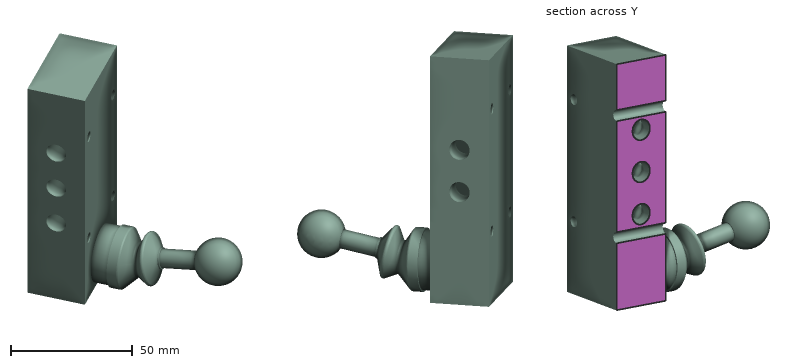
import cadquery as cq
import math

block_depth = 25.0
block_width = 40.0
block_height = 105.0
port_row_z = 57.0

mount_hole_dia = 4.5
mount_pitch_y = 30.0
mount_pitch_z = 52.0

port_dia = 8.6
port_pitch = 18.0
port_depth = 10.6

neck_dia = 25.0
neck_length = 7.1
cap_dia = 26.5
cap_length = 4.5
cap_overhang = 0.7
actuator_z = cap_dia / 2 - cap_overhang
cap_start = block_depth + neck_length
cap_end = cap_start + cap_length

lever_tilt = 10.0
pivot_x = 30.1
rod_dia = 8.0
ball_dia = 20.0
overall_length = 86.0
ball_x = overall_length - ball_dia / 2
ball_distance = (ball_x - pivot_x) / math.cos(math.radians(lever_tilt))

valley_x = 42.1
valley_radius = 6.6
valley_tilt = 8.0
rim_x = 47.1
rim_rise = 2.6
rim_radius = 12.1
rim_tilt = 13.0
collar_dia = 9.0
collar_x = 51.2
collar_length = 0.7
cap_round = 0.8
valley_round = 0.8
rim_round = 1.1

ball_flat_dia = 9.0
ball_flat_offset = math.sqrt((ball_dia / 2) ** 2 - (ball_flat_dia / 2) ** 2)


def tilted_plane(x, rise, tilt):
    """Plane facing along +X, raised above the actuator axis and tilted upward in XZ."""
    angle = math.radians(tilt)
    normal = (math.cos(angle), 0, math.sin(angle))
    return cq.Plane(origin=(x, 0, actuator_z + rise), xDir=(0, 1, 0), normal=normal)


def lever_rise(x):
    """Height of the lever axis above the actuator axis at a given X."""
    return (x - pivot_x) * math.tan(math.radians(lever_tilt))


def skin(start_plane, start_radius, end_plane, end_radius):
    """Solid with straight sides between two circles on different planes."""
    wires = [
        cq.Wire.makeCircle(radius, plane.origin, plane.zDir)
        for plane, radius in ((start_plane, start_radius), (end_plane, end_radius))
    ]
    return cq.Workplane(obj=cq.Solid.makeLoft(wires, True))


def make_block():
    block = cq.Workplane().box(block_depth, block_width, block_height, centered=(False, True, False))
    mount_holes = (
        cq.Workplane("YZ", origin=(0, 0, port_row_z))
        .rect(mount_pitch_y, mount_pitch_z, forConstruction=True)
        .vertices()
        .circle(mount_hole_dia / 2)
        .extrude(block_depth)
    )
    block = block.cut(mount_holes)
    for side, offsets in ((-1, (-1, 0, 1)), (1, (-0.5, 0.5))):
        for offset in offsets:
            mouth = cq.Vector(block_depth / 2, side * block_width / 2, port_row_z + offset * port_pitch)
            port = cq.Solid.makeCylinder(port_dia / 2, port_depth, mouth, cq.Vector(0, -side, 0))
            block = block.cut(cq.Workplane(obj=port))
    return block


def make_neck():
    return cq.Workplane("YZ", origin=(block_depth, 0, actuator_z)).circle(neck_dia / 2).extrude(neck_length)


def make_boot():
    cap_plane = tilted_plane(cap_end, 0, 0)
    valley_plane = tilted_plane(valley_x, 0, valley_tilt)
    rim_plane = tilted_plane(rim_x, rim_rise, rim_tilt)
    collar_plane = tilted_plane(collar_x, lever_rise(collar_x), lever_tilt)

    boot = cq.Workplane("YZ", origin=(cap_start, 0, actuator_z)).circle(cap_dia / 2).extrude(cap_length)
    boot = boot.union(skin(cap_plane, cap_dia / 2, valley_plane, valley_radius))
    boot = boot.union(skin(valley_plane, valley_radius, rim_plane, rim_radius))
    boot = boot.union(skin(rim_plane, rim_radius, collar_plane, collar_dia / 2))
    for plane, size in ((cap_plane, cap_round), (valley_plane, valley_round), (rim_plane, rim_round)):
        boot = boot.edges(cq.NearestToPointSelector(plane.origin.toTuple())).fillet(size)
    collar = cq.Workplane(collar_plane).circle(collar_dia / 2).extrude(collar_length)
    return boot.union(collar)


def make_lever():
    axis = tilted_plane(pivot_x, 0, lever_tilt)
    rod = cq.Workplane(axis).circle(rod_dia / 2).extrude(ball_distance)
    ball = cq.Workplane(axis).workplane(offset=ball_distance).sphere(ball_dia / 2)
    flat_cutter = cq.Workplane(axis).circle(ball_dia / 2).extrude(ball_distance - ball_flat_offset)
    return rod.union(ball.cut(flat_cutter))


result = make_block().union(make_neck()).union(make_boot()).union(make_lever())